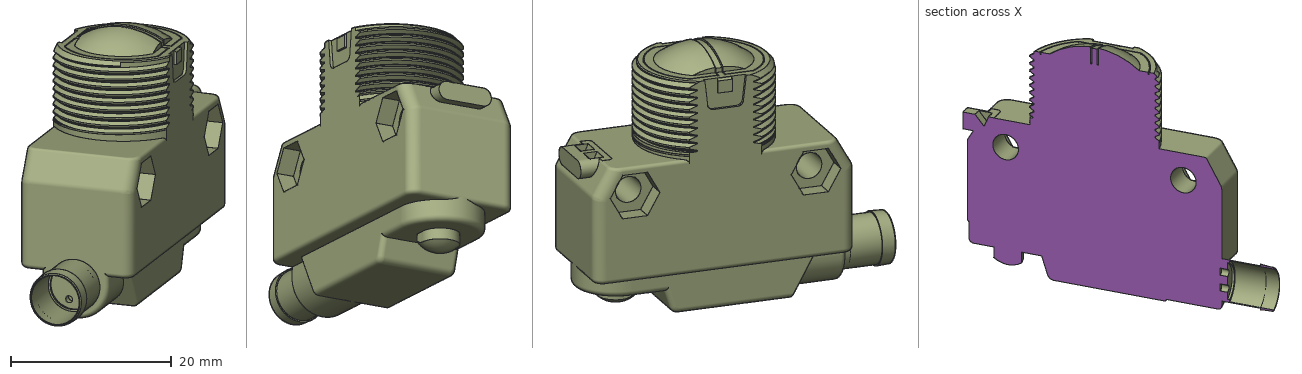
import cadquery as cq
import math

overlap = 1.0
oversize = 100.0

body_width = 15.0
body_half_length = 17.3
body_bottom = 5.8
body_top = 20.83
slope_start = 17.1
slope_angle = 30.0
bend_radius = 1.0
corner_radius = 1.45
rim_radius = 0.45
underside_radius = 0.55

neck_top = 31.05
thread_radius = 8.93
thread_root_radius = 8.38
thread_pitch = 1.0
thread_start = 21.0
thread_turns = 9.8
crest_flat = 0.2
rib_half_base = 0.49
thread_sink = 0.06
collar_radius = 8.9
collar_top = 21.8
neck_chamfer = 0.75
neck_rim_height = 0.55

dome_apex = 33.2
dome_radius = 6.25
dome_half_width = 5.2
divider_width = 0.8
divider_drop = 0.15
seam_width = 0.12
seam_depth = 0.3
lens_radius = 7.55
lens_half_width = 6.25

window_depth = 0.4
window_bottom = 27.1
window_top_half = 2.77
window_bottom_half = 2.3
window_corner = 0.8
tab_half = 0.95
tab_bottom = 29.15
tab_height = 1.6
tab_raise = 0.3
tab_slope = 0.25

mount_offset = 12.06
mount_height = 17.1
mount_diameter = 3.4
nut_across_flats = 5.73
nut_depth = 2.4

cover_half_width = 5.55
step_height = 3.05
step_y = 7.2
foot_y = 6.2
cover_front_bottom = -9.6
cover_front_top = -12.85
cover_edge = 0.7
cover_front_edge = 0.2
foot_radius = 1.0

plug_height = 4.4
socket_radius = plug_height
socket_overlap = 2.5
plug_radius = 3.3
plug_collar_radius = 3.48
plug_tip_radius = 3.4
plug_tip_chamfer = 0.15
plug_collar_length = 1.86
plug_end = -24.36
bore_radius = 3.15
bore_depth = 6.0
floor_radius = 2.9
floor_step = 0.3
contact_radius = 0.45
contact_depth = 1.0
contacts = [(-0.5, 1.7), (1.46, 1.08), (1.46, -1.08), (-0.5, -1.7)]

knob_half_width = 2.45
knob_flat_y = 9.9
knob_corner = 0.5
knob_dome_radius = 3.55
knob_bottom = 0.66

clip_half_width = 3.78
clip_thickness = 2.36
clip_end = 17.85
clip_front = 13.6
clip_proud = 0.02
clip_pad_depth = 1.0
clip_corner = 0.35
slot_inner = 0.43
slot_outer = 2.63
slot_back = 16.2
slot_valley = 15.0
slot_front = 14.4
slot_depth = 1.4


def make_body():
    """Housing block with leaning upper end walls and rounded edges."""
    lean = (body_top - slope_start) * math.tan(math.radians(slope_angle))
    top_half_length = body_half_length - lean
    block = (
        cq.Workplane("YZ")
        .moveTo(-body_half_length, body_bottom)
        .lineTo(body_half_length, body_bottom)
        .lineTo(body_half_length, slope_start)
        .lineTo(top_half_length, body_top)
        .lineTo(-top_half_length, body_top)
        .lineTo(-body_half_length, slope_start)
        .close()
        .extrude(body_width / 2, both=True)
    )
    for side in (-1, 1):
        bend = cq.selectors.NearestToPointSelector((0, side * body_half_length, slope_start))
        block = block.edges(bend).fillet(bend_radius)
    block = block.faces("<X or >X").edges("not(#Z and |Y)").fillet(corner_radius)
    block = block.faces(">Z").edges().fillet(rim_radius)
    return block.faces("<Z").edges().fillet(underside_radius)


def make_thread():
    """Helical rib wound around the neck core."""
    inner_radius = thread_root_radius - thread_sink
    height = thread_radius - inner_radius
    helix = cq.Wire.makeHelix(thread_pitch, thread_pitch * thread_turns, inner_radius)
    rib = (
        cq.Workplane("XZ", origin=(inner_radius, 0, 0))
        .moveTo(0, -rib_half_base)
        .lineTo(height, -crest_flat / 2)
        .lineTo(height, crest_flat / 2)
        .lineTo(0, rib_half_base)
        .close()
        .sweep(cq.Workplane(helix), isFrenet=True)
    )
    return rib.translate((0, 0, thread_start))


def make_neck():
    """Threaded neck with collar, flattened to the width of the body."""
    base = body_top - overlap
    envelope_clearance = 0.05
    core = cq.Workplane("XY").workplane(offset=base).circle(thread_root_radius).extrude(neck_top - base)
    collar = (
        cq.Workplane("XY").workplane(offset=body_top - rim_radius).circle(collar_radius)
        .extrude(collar_top - body_top + rim_radius)
    )
    rim = (
        cq.Workplane("XY").workplane(offset=neck_top - neck_rim_height).circle(collar_radius)
        .extrude(neck_rim_height)
    )
    neck = core.union(make_thread()).union(collar).union(rim)
    envelope = (
        cq.Workplane("XY").workplane(offset=base).circle(thread_radius + envelope_clearance)
        .extrude(neck_top - base).faces(">Z").chamfer(neck_chamfer)
    )
    flats = cq.Workplane("XY").box(body_width, oversize, oversize)
    return neck.intersect(envelope).intersect(flats)


def make_dome():
    """Spherical lens cap, flat on both X sides, with a slightly lower divider across it."""
    rise = dome_apex - neck_top
    sphere_radius = (dome_radius ** 2 + rise ** 2) / (2 * rise)
    post = (
        cq.Workplane("XY").workplane(offset=neck_top - overlap).circle(dome_radius)
        .extrude(rise + overlap)
    )
    sides = cq.Workplane("XY").box(2 * dome_half_width, oversize, oversize)

    def cap(apex):
        ball = cq.Workplane("XY").sphere(sphere_radius).translate((0, 0, apex - sphere_radius))
        return post.intersect(sides).intersect(ball)

    divider = cq.Workplane("XY").box(oversize, divider_width, oversize)
    return cap(dome_apex).cut(divider).union(cap(dome_apex - divider_drop).intersect(divider))


def lens_half(inset):
    """Prism over the +Y half of the lens, shrunk by the given inset."""
    radius = lens_radius - inset
    half_width = lens_half_width - inset
    front = divider_width / 2 + inset
    shoulder = math.sqrt(radius ** 2 - half_width ** 2)
    return (
        cq.Workplane("XY").workplane(offset=neck_top - seam_depth)
        .moveTo(-half_width, front)
        .lineTo(half_width, front)
        .lineTo(half_width, shoulder)
        .threePointArc((0, radius), (-half_width, shoulder))
        .close()
        .extrude(dome_apex - neck_top + seam_depth)
    )


def make_lens_seams():
    """Narrow grooves around both lens halves."""
    seam = lens_half(0).cut(lens_half(seam_width))
    return seam.union(seam.mirror("XZ"))


def make_window_recess():
    """Tapered shallow recess at the top of the -X flat of the neck."""
    recess = (
        cq.Workplane("YZ", origin=(-body_width / 2, 0, 0))
        .moveTo(-window_top_half, neck_top)
        .lineTo(-window_bottom_half, window_bottom)
        .lineTo(window_bottom_half, window_bottom)
        .lineTo(window_top_half, neck_top)
        .close()
        .extrude(window_depth)
    )
    return recess.edges("|X").edges("<Z").fillet(window_corner)


def make_window_tab():
    """Small raised square with a sloping top edge inside the window recess."""
    floor = -body_width / 2 + window_depth
    top = tab_bottom + tab_height
    return (
        cq.Workplane("XZ", origin=(0, tab_half, 0))
        .moveTo(floor, tab_bottom)
        .lineTo(floor - tab_raise, tab_bottom)
        .lineTo(floor - tab_raise, top)
        .lineTo(floor, top + tab_slope)
        .close()
        .extrude(2 * tab_half)
    )


def make_mount(side):
    """Through hole with a hexagonal nut pocket on both faces."""
    centre = (side * mount_offset, mount_height)
    across_corners = nut_across_flats / math.cos(math.radians(30))
    hole = cq.Workplane("YZ").center(*centre).circle(mount_diameter / 2).extrude(body_width, both=True)
    pocket = (
        cq.Workplane("YZ", origin=(-body_width / 2, 0, 0)).center(*centre)
        .polygon(6, across_corners).extrude(nut_depth)
    )
    return hole.union(pocket).union(pocket.mirror("YZ"))


def make_cover_plate():
    """Shallow rear part of the bottom cover with a round end."""
    top = body_bottom + overlap
    round_start = body_half_length - cover_half_width
    plate = (
        cq.Workplane("XY").workplane(offset=step_height)
        .moveTo(-cover_half_width, 0)
        .lineTo(cover_half_width, 0)
        .lineTo(cover_half_width, round_start)
        .threePointArc((0, body_half_length), (-cover_half_width, round_start))
        .close()
        .extrude(top - step_height)
    )
    return plate.faces("<Z").edges("not <Y").fillet(cover_edge)


def make_cover_foot():
    """Deep part of the bottom cover, leaning at both ends."""
    top = body_bottom + overlap
    front_lean = (cover_front_top - cover_front_bottom) / body_bottom
    rear_lean = (step_y - foot_y) / step_height
    foot = (
        cq.Workplane("YZ")
        .moveTo(foot_y, 0)
        .lineTo(cover_front_bottom, 0)
        .lineTo(cover_front_bottom + front_lean * top, top)
        .lineTo(foot_y + rear_lean * top, top)
        .close()
        .extrude(cover_half_width, both=True)
    )
    foot = foot.faces("<Z").edges(">Y").fillet(foot_radius)
    side_edges = cq.selectors.BoxSelector(
        (-body_width, cover_front_bottom + overlap, -overlap),
        (body_width, body_half_length, body_bottom),
    )
    foot = foot.faces("<X or >X").edges(side_edges).fillet(cover_edge)
    return foot.faces("<Y").edges("not |X").fillet(cover_front_edge)


def make_socket():
    """Round-bottomed housing around the root of the connector."""
    length = body_half_length + cover_front_bottom + socket_overlap
    top = body_bottom + socket_overlap
    socket = (
        cq.Workplane("XZ", origin=(0, -body_half_length + length, 0))
        .moveTo(-socket_radius, top)
        .lineTo(-socket_radius, plug_height)
        .threePointArc((0, plug_height - socket_radius), (socket_radius, plug_height))
        .lineTo(socket_radius, top)
        .close()
        .extrude(length)
    )
    return socket.faces("<Y").edges("not(>Z)").fillet(underside_radius)


def make_plug():
    """Round connector shank with a tapered collar at its tip."""
    plug = (
        cq.Workplane("XY")
        .moveTo(0, -body_half_length + overlap)
        .lineTo(plug_radius, -body_half_length + overlap)
        .lineTo(plug_radius, plug_end + plug_collar_length)
        .lineTo(plug_collar_radius, plug_end + plug_collar_length)
        .lineTo(plug_tip_radius, plug_end + plug_tip_chamfer)
        .lineTo(plug_tip_radius - plug_tip_chamfer, plug_end)
        .lineTo(0, plug_end)
        .close()
        .revolve(360, (0, 0, 0), (0, 1, 0))
    )
    return plug.translate((0, 0, plug_height))


def make_bore():
    """Stepped connector bore with contact holes in its floor."""
    face = cq.Workplane("XZ", origin=(0, plug_end, plug_height))
    bore = face.circle(bore_radius).extrude(-bore_depth)
    floor_depth = bore_depth + floor_step
    floor = face.circle(floor_radius).extrude(-floor_depth)
    holes = face.pushPoints(contacts).circle(contact_radius).extrude(-floor_depth - contact_depth)
    return bore.union(floor).union(holes)


def make_knob():
    """D-shaped knob with a domed bottom under the raised end of the cover."""
    centre = body_half_length - cover_half_width
    plan = (
        cq.Workplane("XY")
        .moveTo(-knob_half_width, knob_flat_y)
        .lineTo(knob_half_width, knob_flat_y)
        .lineTo(knob_half_width, centre)
        .threePointArc((0, centre + knob_half_width), (-knob_half_width, centre))
        .close()
        .extrude(step_height + overlap)
        .edges("|Z and <Y").fillet(knob_corner)
    )
    ball = cq.Workplane("XY").sphere(knob_dome_radius).translate((0, centre, knob_bottom + knob_dome_radius))
    return plan.intersect(ball)


def make_clip():
    """Rear clip with rounded sides and a flat pad running onto the body."""
    clip_top = body_top + clip_proud
    bar = (
        cq.Workplane("XZ", origin=(0, clip_end, clip_top - clip_thickness / 2))
        .slot2D(2 * clip_half_width, clip_thickness)
        .extrude(clip_end - slot_valley)
    )
    pad = (
        cq.Workplane("XY").workplane(offset=clip_top - clip_pad_depth)
        .center(0, (clip_front + slot_valley) / 2)
        .rect(2 * clip_half_width, slot_valley - clip_front)
        .extrude(clip_pad_depth)
        .edges("|Z and <Y").chamfer(clip_corner)
    )
    return bar.union(pad)


def make_clip_slot(start):
    """V-shaped slot across the clip, starting at the given X."""
    clip_top = body_top + clip_proud
    return (
        cq.Workplane("YZ", origin=(start, 0, 0))
        .moveTo(slot_back, clip_top)
        .lineTo(slot_valley, clip_top - slot_depth)
        .lineTo(slot_front, clip_top)
        .close()
        .extrude(slot_outer - slot_inner)
    )


result = make_body()
for part in (make_cover_plate(), make_cover_foot(), make_socket(), make_plug(), make_knob()):
    result = result.union(part)
result = result.cut(make_bore())
for side in (-1, 1):
    result = result.cut(make_mount(side))

result = result.union(make_neck()).union(make_dome()).cut(make_lens_seams())
recess = make_window_recess()
tab = make_window_tab()
result = result.cut(recess).cut(recess.mirror("YZ")).union(tab).union(tab.mirror("YZ"))

result = result.union(make_clip())
for slot_start in (-slot_outer, slot_inner):
    result = result.cut(make_clip_slot(slot_start))